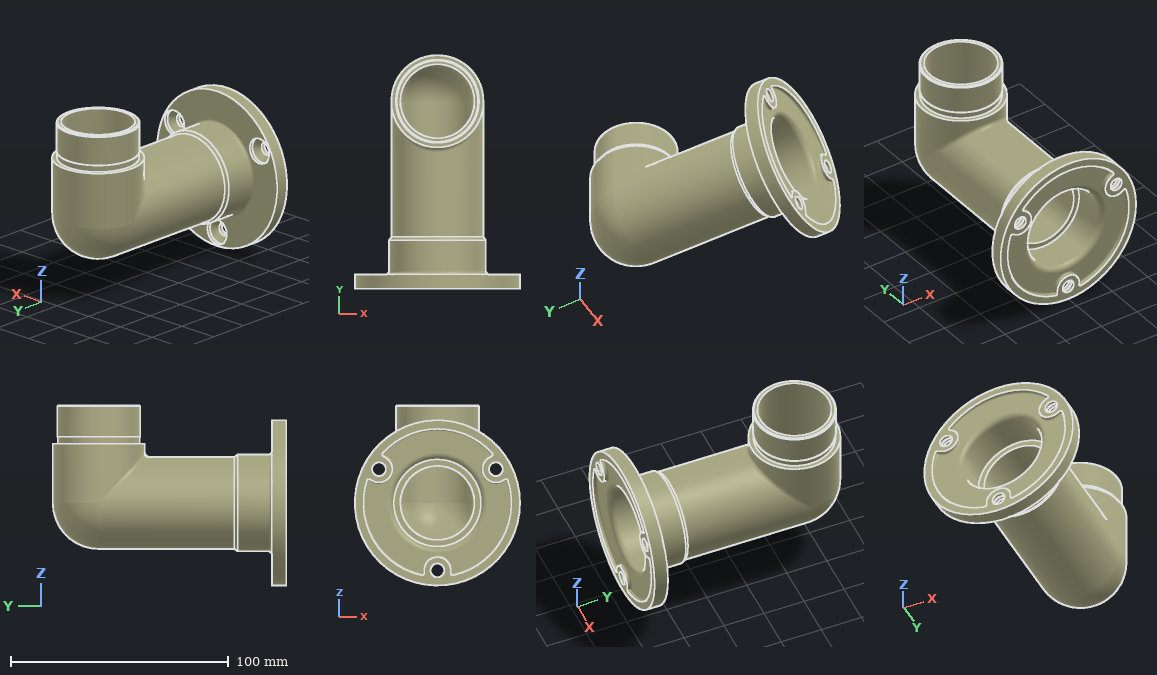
import cadquery as cq
import math


pipe_diameter = 42.4
bore_diameter = 34.0
inner_corner_radius = 2.0
shoulder_height = 27.2

spigot_top = 44.8
spigot_diameter = 38.3
spigot_chamfer = 0.5
neck_diameter = 37.9
neck_length = 3.2

flange_diameter = 76.0
flange_thickness = 6.7
front_face_y = -86.2
flange_back_y = front_face_y + flange_thickness

collar_diameter = 44.6
collar_length = 17.2
collar_chamfer = 1.6
collar_root_radius = 1.5
collar_end_y = flange_back_y + collar_length

socket_diameter = 40.0
socket_depth = 20.0
socket_end_y = front_face_y + socket_depth
socket_mouth_radius = 3.0

hole_diameter = 6.2
hole_land = 2.0
countersink_diameter = 12.2
hole_circle_radius = 31.0
hole_angles = (30, 150, 270)
pad_diameter = 12.2
recess_diameter = 68.0
recess_depth = 2.0
recess_foot_radius = 0.95
recess_corner_radius = 1.0

quarter_round_inset = 1 - math.sqrt(0.5)


def cylinder_y(diameter, start_y, length):
    """Cylinder on the Y axis running from start_y toward +Y."""
    plane = cq.Plane(origin=(0, start_y, 0), xDir=(1, 0, 0), normal=(0, 1, 0))
    return cq.Workplane(plane).circle(diameter / 2).extrude(length)


def cylinder_z(diameter, start_z, length):
    """Cylinder on the Z axis running from start_z toward +Z."""
    return cq.Workplane("XY").workplane(offset=start_z).circle(diameter / 2).extrude(length)


def elbow(diameter, horizontal_end_y, vertical_end_z):
    """Two legs of one diameter joined by a ball at the corner."""
    horizontal = cylinder_y(diameter, horizontal_end_y, -horizontal_end_y)
    vertical = cylinder_z(diameter, 0, vertical_end_z)
    corner = cq.Workplane("XY").sphere(diameter / 2)
    return horizontal.union(vertical).union(corner)


def outer_elbow():
    """Pipe elbow with its inner corner rounded."""
    horizontal = cylinder_y(pipe_diameter, flange_back_y, -flange_back_y)
    vertical = cylinder_z(pipe_diameter, 0, shoulder_height)
    legs = horizontal.union(vertical)
    nearest = (0, -pipe_diameter / 2, pipe_diameter / 2)
    legs = legs.edges(cq.selectors.NearestToPointSelector(nearest)).fillet(inner_corner_radius)
    return legs.union(cq.Workplane("XY").sphere(pipe_diameter / 2))


def spigot():
    """Chamfered spigot standing on a slightly thinner neck."""
    neck = cylinder_z(neck_diameter, shoulder_height, neck_length)
    spigot_base = shoulder_height + neck_length
    sleeve = cylinder_z(spigot_diameter, spigot_base, spigot_top - spigot_base)
    return neck.union(sleeve.faces(">Z").chamfer(spigot_chamfer))


def flange_and_collar():
    """Turned profile of the flange, the rounded root and the chamfered collar."""
    collar_radius = collar_diameter / 2
    root_radius = collar_radius + collar_root_radius
    root_y = flange_back_y + collar_root_radius
    blend = collar_root_radius * quarter_round_inset
    return (
        cq.Workplane("XY")
        .moveTo(0, front_face_y)
        .lineTo(flange_diameter / 2, front_face_y)
        .lineTo(flange_diameter / 2, flange_back_y)
        .lineTo(root_radius, flange_back_y)
        .threePointArc((collar_radius + blend, flange_back_y + blend), (collar_radius, root_y))
        .lineTo(collar_radius, collar_end_y - collar_chamfer)
        .lineTo(pipe_diameter / 2, collar_end_y)
        .lineTo(0, collar_end_y)
        .close()
        .revolve(360, (0, 0, 0), (0, 1, 0))
    )


def at_screw(shape, angle):
    """Move a shape from the Y axis to the screw position at this angle around it."""
    return shape.translate((hole_circle_radius, 0, 0)).rotate((0, 0, 0), (0, 1, 0), -angle)


def screw_pad():
    """Round-nosed pad that runs outward into the flange rim."""
    nose = cylinder_y(pad_diameter, front_face_y, recess_depth)
    tail = (
        cq.Workplane("XY")
        .box(flange_diameter / 2, recess_depth, pad_diameter, centered=(False, False, True))
        .translate((0, front_face_y, 0))
    )
    return nose.union(tail)


def is_rim_corner(edge):
    """True for the edges where a pad meets the outer wall of the recess."""
    center = edge.Center()
    return math.hypot(center.x, center.z) > hole_circle_radius + recess_corner_radius


def recess():
    """Shallow recess in the front face with rounded corners and a rounded foot."""
    sunk = cylinder_y(recess_diameter, front_face_y, recess_depth)
    for angle in hole_angles:
        sunk = sunk.cut(at_screw(screw_pad(), angle))
    sunk = sunk.edges("|Y").filter(is_rim_corner).fillet(recess_corner_radius)
    return sunk.faces(">Y").edges().fillet(recess_foot_radius)


def socket():
    """Blind socket with a bell mouth at the front face."""
    mouth_y = front_face_y + recess_depth
    mouth_end_y = mouth_y + socket_mouth_radius
    bore_radius = socket_diameter / 2
    mouth_radius = bore_radius + socket_mouth_radius
    blend = socket_mouth_radius * quarter_round_inset
    return (
        cq.Workplane("XY")
        .moveTo(0, front_face_y)
        .lineTo(mouth_radius, front_face_y)
        .lineTo(mouth_radius, mouth_y)
        .threePointArc((bore_radius + blend, mouth_y + blend), (bore_radius, mouth_end_y))
        .lineTo(bore_radius, socket_end_y)
        .lineTo(0, socket_end_y)
        .close()
        .revolve(360, (0, 0, 0), (0, 1, 0))
    )


def screw_hole():
    """Through hole with a 45 degree countersink sunk below the back of the flange."""
    hole_radius = hole_diameter / 2
    head_radius = countersink_diameter / 2
    cone_start_y = front_face_y + hole_land
    cone_end_y = cone_start_y + head_radius - hole_radius
    return (
        cq.Workplane("XY")
        .moveTo(0, front_face_y)
        .lineTo(hole_radius, front_face_y)
        .lineTo(hole_radius, cone_start_y)
        .lineTo(head_radius, cone_end_y)
        .lineTo(head_radius, flange_back_y)
        .lineTo(0, flange_back_y)
        .close()
        .revolve(360, (0, 0, 0), (0, 1, 0))
    )


result = outer_elbow().union(spigot()).union(flange_and_collar())
result = result.cut(elbow(bore_diameter, front_face_y, spigot_top))
result = result.cut(socket()).cut(recess())
for screw_angle in hole_angles:
    result = result.cut(at_screw(screw_hole(), screw_angle))